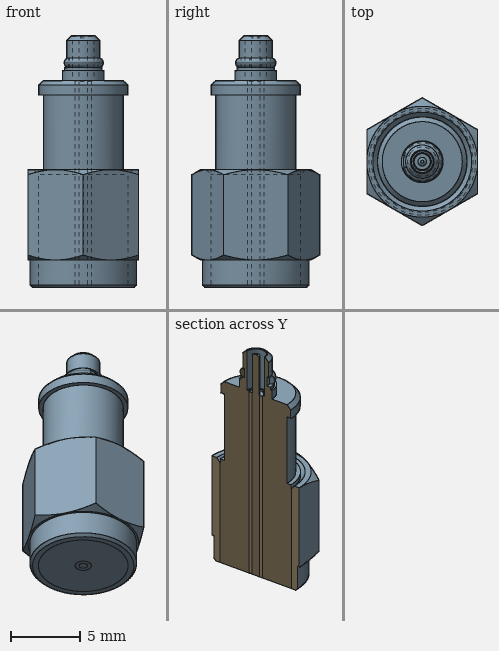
import cadquery as cq
import math


across_flats = 8.0
sleeve_radius = 3.85
sleeve_height = 2.0
sleeve_chamfer = 0.2
hex_top = 8.5
hex_chamfer_angle = 30.0
nut_bore_radius = 3.24
nut_countersink = 0.33

shoulder_radius = nut_bore_radius
barrel_radius = 2.89
flange_radius = 3.22
flange_bottom = 13.89
flange_top = 14.95
flange_chamfer = flange_radius - barrel_radius
collar_radius = 1.5
collar_top = 15.65
neck_radius = 1.36
tip_radius = 1.2
tip_top = 18.18
tip_chamfer = 0.35

groove_radius = 1.05
groove_bottom = 15.87
groove_top = 16.56
ring_radius = 1.45
ring_fillet = 0.33
ring_gap_half_angle = 19.0

socket_radius = 0.78
socket_mouth_chamfer = 0.05
socket_floor = flange_top
insulator_radius = 0.58
insulator_hole_chamfer = 0.07
insulator_top = socket_floor - insulator_hole_chamfer
pin_radius = 0.3
pin_top = 18.1
pin_chamfer_height = 0.1
pin_chamfer_width = 0.2


def cylinder(radius, bottom, top):
    """Solid cylinder on the Z axis between two heights."""
    return cq.Workplane("XY").workplane(offset=bottom).circle(radius).extrude(top - bottom)


def revolve_profile(points):
    """Solid of revolution about Z from a closed list of (radius, height) points."""
    return cq.Workplane("XZ").polyline(points).close().revolve(360, (0, 0), (0, 1))


def make_hexagon():
    """Hexagonal prism with corners on the Y axis, its ends turned to a cone down to the flats."""
    corner_radius = across_flats / 2 / math.cos(math.pi / 6)
    flat_radius = across_flats / 2
    corner_drop = (corner_radius - flat_radius) * math.tan(math.radians(hex_chamfer_angle))
    prism = (
        cq.Workplane("XY")
        .workplane(offset=sleeve_height)
        .polygon(6, 2 * corner_radius)
        .extrude(hex_top - sleeve_height)
        .rotate((0, 0, 0), (0, 0, 1), 30)
    )
    turned_envelope = revolve_profile([
        (0, sleeve_height),
        (flat_radius, sleeve_height),
        (corner_radius, sleeve_height + corner_drop),
        (corner_radius, hex_top - corner_drop),
        (flat_radius, hex_top),
        (0, hex_top),
    ])
    return prism.intersect(turned_envelope)


def make_nut():
    """Hexagon above a round sleeve, bored through and countersunk at the top."""
    sleeve = cylinder(sleeve_radius, 0, sleeve_height).faces("<Z").chamfer(sleeve_chamfer)
    bore = revolve_profile([
        (0, 0),
        (nut_bore_radius, 0),
        (nut_bore_radius, hex_top - nut_countersink),
        (nut_bore_radius + nut_countersink, hex_top),
        (0, hex_top),
    ])
    return make_hexagon().union(sleeve).cut(bore)


def make_body():
    """Stepped body: shoulder inside the nut, barrel, flange, collar, neck, ring groove and socketed tip."""
    outside = revolve_profile([
        (0, 0),
        (shoulder_radius, 0),
        (shoulder_radius, hex_top),
        (barrel_radius, hex_top),
        (barrel_radius, flange_bottom),
        (flange_radius, flange_bottom),
        (flange_radius, flange_top - flange_chamfer),
        (flange_radius - flange_chamfer, flange_top),
        (collar_radius, flange_top),
        (collar_radius, collar_top),
        (neck_radius, collar_top),
        (neck_radius, groove_bottom),
        (groove_radius, groove_bottom),
        (groove_radius, groove_top),
        (tip_radius, groove_top),
        (tip_radius, tip_top - tip_chamfer),
        (tip_radius - tip_chamfer, tip_top),
        (0, tip_top),
    ])
    central_hole = revolve_profile([
        (0, 0),
        (insulator_radius, 0),
        (insulator_radius, insulator_top),
        (insulator_radius + insulator_hole_chamfer, socket_floor),
        (socket_radius, socket_floor),
        (socket_radius, tip_top - socket_mouth_chamfer),
        (socket_radius + socket_mouth_chamfer, tip_top),
        (0, tip_top),
    ])
    return outside.cut(central_hole)


def make_snap_ring():
    """Ring with rounded outer edges, split by a radial gap on the -X side."""
    ring = cylinder(ring_radius, groove_bottom, groove_top).edges().fillet(ring_fillet)
    ring = ring.cut(cylinder(groove_radius, groove_bottom, groove_top))
    wedge_length = 2 * ring_radius
    wedge_half_width = wedge_length * math.tan(math.radians(ring_gap_half_angle))
    gap = (
        cq.Workplane("XY")
        .workplane(offset=groove_bottom)
        .polyline([(0, 0), (-wedge_length, wedge_half_width), (-wedge_length, -wedge_half_width)])
        .close()
        .extrude(groove_top - groove_bottom)
    )
    return ring.cut(gap)


def make_insulator():
    """Sleeve around the pin, ending at the foot of the chamfer in the socket floor."""
    return cylinder(insulator_radius, 0, insulator_top).cut(cylinder(pin_radius, 0, insulator_top))


def make_pin():
    """Centre pin with a chamfered tip standing just below the socket rim."""
    return cylinder(pin_radius, 0, pin_top).faces(">Z").chamfer(pin_chamfer_height, pin_chamfer_width)


nut = make_nut()
body = make_body()
snap_ring = make_snap_ring()
insulator = make_insulator()
pin = make_pin()

result = cq.Compound.makeCompound([
    nut.val(),
    body.val(),
    snap_ring.val(),
    insulator.val(),
    pin.val(),
])